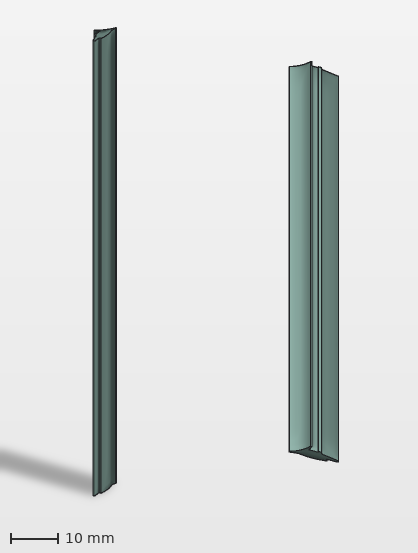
import cadquery as cq

LENGTH = 100.0
WIDTH = 3.8
HEIGHT = 10.99

LEFT = -WIDTH / 2
RIGHT = WIDTH / 2
TOP = HEIGHT / 2
BOTTOM = -HEIGHT / 2

TIP_WIDTH = 0.3
TIP_SIDE = 0.6

HOOK_UNDERSIDE_Y = 1.9
HOOK_NOSE = 0.25
SWEEP_MID = (0.25, 3.55)

BODY_LEFT = -0.55
RIB_LEFT = -0.85
RIB_TOP_Y = -0.15
RIB_BOTTOM_Y = -0.8
RIB_FILLET_MID = (-0.36, -1.13)

FLANK_TOP = (-0.13, -1.75)

STEM_LEFT = 0.52
STEM_RIGHT = 1.05
FOOT_RADIUS = (STEM_RIGHT - STEM_LEFT) / 2

NOTCH_TOP_Y = -2.95
NOTCH_RIGHT = 1.53
LIP_TIP = (1.6, -3.15)

BULGE_MID = (RIGHT, 0.4)
BULGE_TOP = (1.62, 3.1)
HOLLOW_MID = (1.65, 4.0)


def make_profile():
    """Closed cross-section, traced anticlockwise from the upper tip."""
    return (
        cq.Workplane("XY")
        .workplane(offset=-LENGTH / 2)
        .moveTo(RIGHT, TOP)
        .lineTo(RIGHT - TIP_WIDTH, TOP)
        .threePointArc(SWEEP_MID, (LEFT, HOOK_UNDERSIDE_Y + HOOK_NOSE))
        .lineTo(LEFT, HOOK_UNDERSIDE_Y)
        .lineTo(BODY_LEFT, HOOK_UNDERSIDE_Y)
        .lineTo(BODY_LEFT, RIB_TOP_Y)
        .lineTo(RIB_LEFT, RIB_TOP_Y)
        .lineTo(RIB_LEFT, RIB_BOTTOM_Y)
        .threePointArc(RIB_FILLET_MID, FLANK_TOP)
        .lineTo(STEM_LEFT, BOTTOM + FOOT_RADIUS)
        .threePointArc((STEM_LEFT + FOOT_RADIUS, BOTTOM), (STEM_RIGHT, BOTTOM + FOOT_RADIUS))
        .lineTo(STEM_RIGHT, NOTCH_TOP_Y)
        .lineTo(NOTCH_RIGHT, NOTCH_TOP_Y)
        .lineTo(*LIP_TIP)
        .threePointArc(BULGE_MID, BULGE_TOP)
        .threePointArc(HOLLOW_MID, (RIGHT, TOP - TIP_SIDE))
        .close()
    )


result = make_profile().extrude(LENGTH)